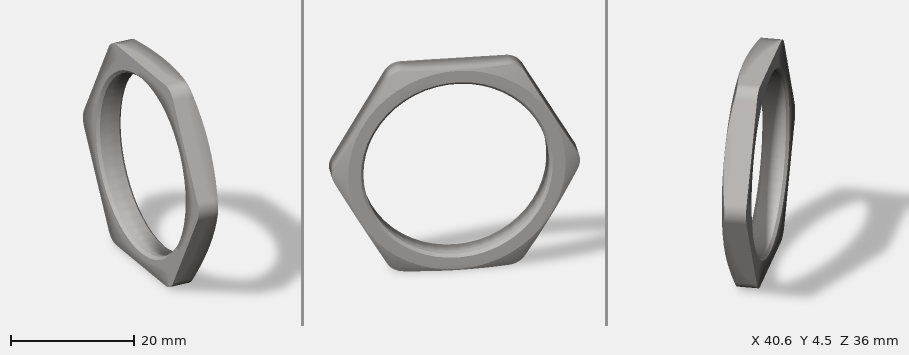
import cadquery as cq
import math

across_flats = 36.0
thickness = 4.5
corner_radius = 3.05
bore_diameter = 30.5
bore_chamfer = 0.5
crown_diameter = 35.6
crown_angle = 21.0


def hexagon_blank():
    """Hexagonal plate from Y = 0 to Y = thickness, with two corners on the X axis."""
    across_corners = across_flats / math.cos(math.radians(30))
    return (
        cq.Workplane("XZ")
        .polygon(6, across_corners)
        .extrude(-thickness)
        .edges("|Y")
        .fillet(corner_radius)
    )


def crown_envelope():
    """Revolved body whose conical +Y end bevels the corners of the hexagon."""
    crown_radius = crown_diameter / 2
    envelope_radius = across_flats
    crown_drop = (envelope_radius - crown_radius) * math.tan(math.radians(crown_angle))
    return (
        cq.Workplane("XY")
        .moveTo(0, -thickness)
        .lineTo(envelope_radius, -thickness)
        .lineTo(envelope_radius, thickness - crown_drop)
        .lineTo(crown_radius, thickness)
        .lineTo(0, thickness)
        .close()
        .revolve(360, (0, 0, 0), (0, 1, 0))
    )


def bore_cutter():
    """Through bore that widens by a 45 degree chamfer at both faces."""
    bore_radius = bore_diameter / 2
    mouth_radius = bore_radius + bore_chamfer
    return (
        cq.Workplane("XY")
        .moveTo(0, 0)
        .lineTo(mouth_radius, 0)
        .lineTo(bore_radius, bore_chamfer)
        .lineTo(bore_radius, thickness - bore_chamfer)
        .lineTo(mouth_radius, thickness)
        .lineTo(0, thickness)
        .close()
        .revolve(360, (0, 0, 0), (0, 1, 0))
    )


result = hexagon_blank().intersect(crown_envelope()).cut(bore_cutter())